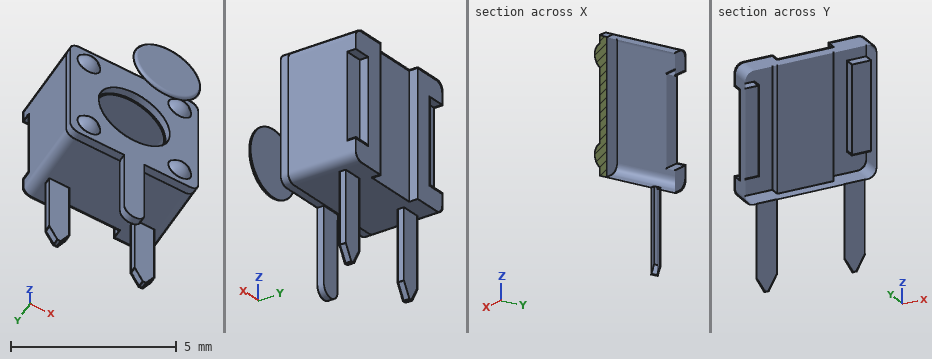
import cadquery as cq

SIDE = 4.5
DEPTH = 2.8
CORNER_RADIUS = 0.315
PLATE_THICKNESS = 0.25
WALL = 0.02
PLATE_HOLE_DIAMETER = 2.5
CASE_HOLE_DIAMETER = 2.4

CHANNEL_DEPTH = 0.315
CHANNEL_WIDTH = 1.9
SIDE_NOTCH_HEIGHT = 3.0
SIDE_NOTCH_LENGTH = 0.65

RIVET_DIAMETER = 0.8
RIVET_HEIGHT = 0.2
RIVET_OFFSET = 1.6

LEG_LENGTH = 3.0
LEG_WIDTH = 0.71
LEG_THICKNESS = 0.25
SIDE_LEG_OFFSET = 1.5
SIDE_LEG_FRONT = 1.9
LEG_TIP_WIDTH = 0.14
LEG_TIP_HEIGHT = 0.52

DISC_DIAMETER = 2.325
DISC_THICKNESS = 0.11
DISC_EDGE_RADIUS = 0.1
DISC_FRONT = -2.0

LEG_END = -SIDE / 2 - LEG_LENGTH


def plane_at(y):
    """XZ plane at depth y whose positive extrusion runs toward +Y."""
    return cq.Workplane(cq.Plane((0, y, 0), xDir=(1, 0, 0), normal=(0, -1, 0)))


def cylinder(diameter, front, back):
    return plane_at(front).circle(diameter / 2).extrude(front - back)


def block(width, height, front, back):
    return plane_at(front).rect(width, height).extrude(front - back)


def case_form(inset):
    """Rounded case with its back channel and side notches, all faces moved inward by inset."""
    front = PLATE_THICKNESS + inset
    back = DEPTH - inset
    width = SIDE - 2 * inset
    form = block(width, width, front, back).edges("|Y").fillet(CORNER_RADIUS - inset)
    channel_floor = DEPTH - CHANNEL_DEPTH - inset
    channel = block(CHANNEL_WIDTH + 2 * inset, SIDE, channel_floor, DEPTH)
    form = form.cut(channel)
    notch_width = 2 * (SIDE_NOTCH_LENGTH + inset)
    notch = block(notch_width, SIDE_NOTCH_HEIGHT + 2 * inset, channel_floor, DEPTH)
    for x in (-SIDE / 2, SIDE / 2):
        form = form.cut(notch.translate((x, 0, 0)))
    return form


def front_plate():
    plate = block(SIDE, SIDE, 0, PLATE_THICKNESS).edges("|Y").fillet(CORNER_RADIUS)
    return plate.cut(cylinder(PLATE_HOLE_DIAMETER, 0, PLATE_THICKNESS))


def middle_leg():
    half = LEG_WIDTH / 2
    top = -SIDE / 2
    return (
        plane_at(0)
        .moveTo(-half, top)
        .lineTo(-half, LEG_END + half)
        .threePointArc((0, LEG_END), (half, LEG_END + half))
        .lineTo(half, top)
        .close()
        .extrude(-PLATE_THICKNESS)
    )


def side_leg_form(x, inset, top):
    """Pointed leg centred at x, with its sides and tip moved inward by inset."""
    half = LEG_WIDTH / 2 - inset
    half_tip = LEG_TIP_WIDTH / 2 - inset
    end = LEG_END + inset
    shoulder = LEG_END + LEG_TIP_HEIGHT
    outline = [
        (x - half, top),
        (x - half, shoulder),
        (x - half_tip, end),
        (x + half_tip, end),
        (x + half, shoulder),
        (x + half, top),
    ]
    thickness = LEG_THICKNESS - 2 * inset
    return plane_at(SIDE_LEG_FRONT + inset).polyline(outline).close().extrude(-thickness)


def rivet_head(x, z):
    """Spherical cap standing on the plate's front face."""
    radius = RIVET_DIAMETER / 2
    dome = (
        cq.Workplane("XY")
        .lineTo(radius, 0)
        .radiusArc((0, -RIVET_HEIGHT), (radius**2 + RIVET_HEIGHT**2) / (2 * RIVET_HEIGHT))
        .close()
        .revolve(360, (0, 0, 0), (0, 1, 0))
    )
    return dome.translate((x, 0, z))


def make_housing():
    housing = case_form(0).union(front_plate()).union(middle_leg())
    for side in (-1, 1):
        housing = housing.union(side_leg_form(side * SIDE_LEG_OFFSET, 0, -SIDE / 2))

    housing = housing.cut(case_form(WALL))
    housing = housing.cut(cylinder(CASE_HOLE_DIAMETER, PLATE_THICKNESS, PLATE_THICKNESS + 2 * WALL))
    cavity_floor = -SIDE / 2 + WALL
    for side in (-1, 1):
        housing = housing.cut(side_leg_form(side * SIDE_LEG_OFFSET, WALL, cavity_floor))

    for x in (-RIVET_OFFSET, RIVET_OFFSET):
        for z in (-RIVET_OFFSET, RIVET_OFFSET):
            housing = housing.union(rivet_head(x, z))
    return housing


def make_disc():
    disc = cylinder(DISC_DIAMETER, DISC_FRONT, DISC_FRONT + DISC_THICKNESS)
    return disc.faces("<Y").edges().fillet(DISC_EDGE_RADIUS)


housing = make_housing()
disc = make_disc()
result = cq.Compound.makeCompound([housing.val(), disc.val()])